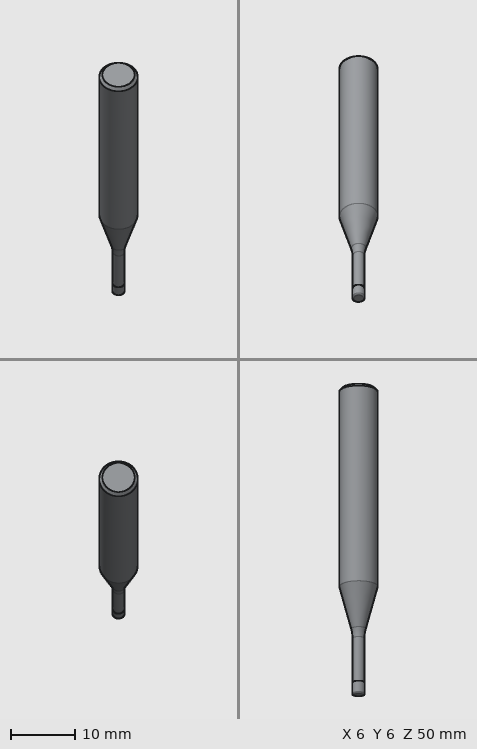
import cadquery as cq
import math

total_length = 50.0
shank_radius = 3.0
shank_chamfer = 0.5

tip_radius = 1.0
tip_length = 2.0
tip_corner_radius = 0.25

neck_radius = 0.95
neck_top = 9.25
blend_radius = 6.0
taper_angle = math.radians(15)


def blend_point(angle):
    """Return the (radius, height) on the blend arc where its tangent leans by angle."""
    radius = neck_radius + blend_radius * (1 - math.cos(angle))
    height = neck_top + blend_radius * math.sin(angle)
    return radius, height


def revolve_about_z(profile):
    """Revolve a closed (radius, height) profile drawn on the XZ plane about the Z axis."""
    return profile.revolve(360, (0, 0, 0), (0, 1, 0))


def make_shank():
    """Chamfered shank, taper, blend and neck as one turned body."""
    taper_bottom_radius, taper_bottom = blend_point(taper_angle)
    taper_height = (shank_radius - taper_bottom_radius) / math.tan(taper_angle)
    taper_top = taper_bottom + taper_height
    profile = (
        cq.Workplane("XZ")
        .moveTo(0, tip_length)
        .lineTo(neck_radius, tip_length)
        .lineTo(neck_radius, neck_top)
        .threePointArc(blend_point(taper_angle / 2), (taper_bottom_radius, taper_bottom))
        .lineTo(shank_radius, taper_top)
        .lineTo(shank_radius, total_length - shank_chamfer)
        .lineTo(shank_radius - shank_chamfer, total_length)
        .lineTo(0, total_length)
        .close()
    )
    return revolve_about_z(profile)


def make_cutting_tip():
    """Cylindrical tip with a rounded bottom edge, butted against the neck."""
    tip = cq.Workplane("XY").circle(tip_radius).extrude(tip_length)
    return tip.faces("<Z").edges().fillet(tip_corner_radius)


shank = make_shank()
cutting_tip = make_cutting_tip()

result = cq.Compound.makeCompound([shank.val(), cutting_tip.val()])